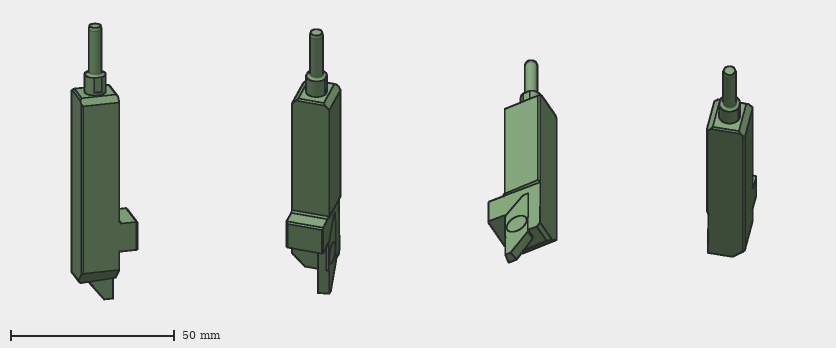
import cadquery as cq
import math

BAR_WIDTH = 12.0
BAR_DEPTH = 12.0
BAR_TOP = 70.1
BAR_BOTTOM = 7.6
EDGE_CHAMFER = 0.55
TOP_BEVEL = 1.9
SIDE_BEVEL = 5.2
FRONT_BEVEL_DEPTH = 1.1
FRONT_BEVEL_HEIGHT = 1.5
BOTTOM_RISE = 1.0

ARM_END = 18.0
ARM_TOP = 28.1
ARM_BOTTOM = 18.8
ARM_ROOT_CHAMFER = 0.6

COLLAR_DIAMETER = 6.5
COLLAR_TOP = 75.85
COLLAR_FLATS = 6.1
FLAT_BOTTOM = 71.0
STEM_DIAMETER = 4.0
STEM_TOP = 91.8
STEM_TIP_DIAMETER = 3.5
STEM_TIP_HEIGHT = 1.0
STEM_ROOT_FILLET = 0.8

RELIEF_DEPTH = 0.6
RELIEF_TURN = 1.2
RELIEF_LEAN = 0.7
RELIEF_STOCK = 36.7

INSERT_THICKNESS = 3.5
INSERT_FRONT = 4.1
INSERT_BACK = 11.85
INSERT_TOP = 25.0
INSERT_TOP_WIDTH = 1.7
INSERT_TOP_SLOPE = 1.1
INSERT_SHOULDER = 7.0
INSERT_TIP_WIDTH = 1.8
BACK_FLARE = 0.6
TIP_FLARE = 0.4
PIN_DIAMETER = 6.8
PIN_Y = 8.0
PIN_Z = 12.6


def make_bar():
    """Square bar with bevelled top, a cut-off +X lower corner and a sloping bottom."""
    bar = (
        cq.Workplane("XY", origin=(0, 0, BAR_BOTTOM))
        .box(BAR_WIDTH, BAR_DEPTH, BAR_TOP - BAR_BOTTOM, centered=False)
        .faces("<Y").edges("|Z").chamfer(EDGE_CHAMFER)
        .faces(">Z").edges("<Y or >Y").chamfer(EDGE_CHAMFER)
    )
    front_outline = (
        cq.Workplane("XZ")
        .moveTo(0, BAR_BOTTOM)
        .lineTo(BAR_WIDTH - SIDE_BEVEL, BAR_BOTTOM)
        .lineTo(BAR_WIDTH, BAR_BOTTOM + SIDE_BEVEL)
        .lineTo(BAR_WIDTH, BAR_TOP - TOP_BEVEL)
        .lineTo(BAR_WIDTH - TOP_BEVEL, BAR_TOP)
        .lineTo(TOP_BEVEL, BAR_TOP)
        .lineTo(0, BAR_TOP - TOP_BEVEL)
        .close()
        .extrude(-BAR_DEPTH)
    )
    side_outline = (
        cq.Workplane("YZ")
        .moveTo(0, BAR_BOTTOM + FRONT_BEVEL_HEIGHT)
        .lineTo(FRONT_BEVEL_DEPTH, BAR_BOTTOM)
        .lineTo(BAR_DEPTH, BAR_BOTTOM + BOTTOM_RISE)
        .lineTo(BAR_DEPTH, BAR_TOP)
        .lineTo(0, BAR_TOP)
        .close()
        .extrude(BAR_WIDTH)
    )
    return bar.intersect(front_outline).intersect(side_outline)


def make_arm():
    """Arm behind the bar, with a chamfered end and a small bevel at its root."""
    arm = (
        cq.Workplane("XY", origin=(0, BAR_DEPTH / 2, ARM_BOTTOM))
        .box(BAR_WIDTH, ARM_END - BAR_DEPTH / 2, ARM_TOP - ARM_BOTTOM, centered=False)
        .faces(">Y").edges("|Z or >Z").chamfer(EDGE_CHAMFER)
    )
    root = (
        cq.Workplane("YZ")
        .moveTo(BAR_DEPTH, ARM_TOP)
        .lineTo(BAR_DEPTH + ARM_ROOT_CHAMFER, ARM_TOP)
        .lineTo(BAR_DEPTH, ARM_TOP + ARM_ROOT_CHAMFER)
        .close()
        .extrude(BAR_WIDTH)
    )
    return arm.union(root)


def make_stem():
    """Turned stem with a collar that has a flat on each X side."""
    collar_radius = COLLAR_DIAMETER / 2
    stem_radius = STEM_DIAMETER / 2
    fillet_drop = STEM_ROOT_FILLET * (1 - math.sqrt(0.5))
    stem = (
        cq.Workplane("XZ")
        .moveTo(0, BAR_TOP)
        .lineTo(collar_radius, BAR_TOP)
        .lineTo(collar_radius, COLLAR_TOP)
        .lineTo(stem_radius + STEM_ROOT_FILLET, COLLAR_TOP)
        .threePointArc(
            (stem_radius + fillet_drop, COLLAR_TOP + fillet_drop),
            (stem_radius, COLLAR_TOP + STEM_ROOT_FILLET),
        )
        .lineTo(stem_radius, STEM_TOP - STEM_TIP_HEIGHT)
        .lineTo(STEM_TIP_DIAMETER / 2, STEM_TOP)
        .lineTo(0, STEM_TOP)
        .close()
        .revolve(360, (0, 0, 0), (0, 1, 0))
    )
    flat_height = COLLAR_TOP - FLAT_BOTTOM
    for side in (-1, 1):
        flat_center = side * (COLLAR_FLATS + COLLAR_DIAMETER) / 2
        flat_cutter = cq.Workplane("XY", origin=(flat_center, 0, FLAT_BOTTOM)).box(
            COLLAR_DIAMETER, COLLAR_DIAMETER, flat_height, centered=(True, True, False)
        )
        stem = stem.cut(flat_cutter)
    return stem.translate((BAR_WIDTH / 2, BAR_DEPTH / 2, 0))


def make_relief():
    """Cutter whose +X face is the tilted relief plane and whose top meets the bar at a slant."""
    return (
        cq.Workplane("XZ")
        .moveTo(RELIEF_DEPTH, ARM_TOP)
        .lineTo(-RELIEF_DEPTH, ARM_TOP + 2 * RELIEF_DEPTH)
        .lineTo(-RELIEF_STOCK, ARM_TOP + 2 * RELIEF_DEPTH)
        .lineTo(-RELIEF_STOCK, ARM_TOP - RELIEF_STOCK)
        .lineTo(RELIEF_DEPTH, ARM_TOP - RELIEF_STOCK)
        .close()
        .extrude(RELIEF_STOCK / 2, both=True)
        .rotate((RELIEF_DEPTH, 0, ARM_TOP), (RELIEF_DEPTH, 0, ARM_TOP + 0.9), RELIEF_TURN)
        .rotate((RELIEF_DEPTH, 0, ARM_TOP), (RELIEF_DEPTH, 1, ARM_TOP), RELIEF_LEAN)
    )


def insert_outline(back_flare, tip_flare):
    """Corners of the insert in Y and Z, widened at the back and at the slanted tip."""
    back = INSERT_BACK + back_flare
    top_back = INSERT_FRONT + INSERT_TOP_WIDTH
    corner_height = INSERT_TOP - INSERT_TOP_SLOPE * (back - top_back)
    return [
        (INSERT_FRONT, INSERT_SHOULDER),
        (INSERT_FRONT, INSERT_TOP),
        (top_back, INSERT_TOP),
        (back, corner_height),
        (back, 0),
        (INSERT_BACK - INSERT_TIP_WIDTH - tip_flare, 0),
    ]


def make_insert_blank():
    """Solid insert, before its hole and the relief are cut."""
    return (
        cq.Workplane("YZ")
        .polyline(insert_outline(0, 0)).close()
        .workplane(offset=INSERT_THICKNESS)
        .polyline(insert_outline(BACK_FLARE, TIP_FLARE)).close()
        .loft(ruled=True)
    )


def make_pin():
    """Round pin of the holder that fills the hole in the insert."""
    return (
        cq.Workplane("YZ")
        .center(PIN_Y, PIN_Z)
        .circle(PIN_DIAMETER / 2)
        .extrude(INSERT_THICKNESS)
    )


relief = make_relief()
pin = make_pin()
insert_blank = make_insert_blank()

insert = insert_blank.cut(pin).cut(relief)
holder = make_bar().union(make_arm()).union(make_stem()).cut(insert_blank).union(pin).cut(relief)

result = cq.Compound.makeCompound([holder.val(), insert.val()])